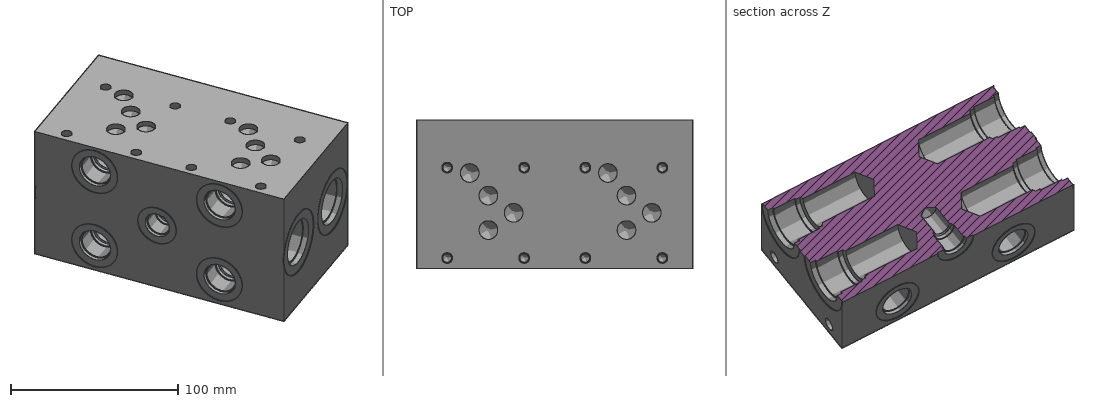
import cadquery as cq
import math

LENGTH = 165.1
WIDTH = 88.9
HEIGHT = 88.9

DRILL_POINT_ANGLE = 118.0
POINT_SLOPE = math.tan(math.radians(DRILL_POINT_ANGLE / 2))

SPOTFACE_DEPTH = 0.6
END_PORT = {
    "spotface": 41.45, "seal": 29.21, "thread": 26.99, "tap_drill": 24.92, "bore": 21.18,
    "seal_depth": 4.1, "thread_depth": 19.0, "tap_depth": 22.0, "bore_depth": 60.0,
}
SIDE_PORT = {
    "spotface": 30.25, "seal": 20.6, "thread": 19.05, "tap_drill": 17.5, "bore": 15.88,
    "seal_depth": 2.9, "thread_depth": 14.3, "tap_depth": 16.7, "bore_depth": 30.0,
}
GAUGE_PORT = {
    "spotface": 25.4, "seal": 15.88, "thread": 14.29, "tap_drill": 12.9, "bore": 10.72,
    "seal_depth": 2.8, "thread_depth": 12.7, "tap_depth": 15.0, "bore_depth": 30.0,
}

MID_HEIGHT = HEIGHT / 2
END_PORT_OFFSET = 23.55

STATION_COUNT = 2
STATION_PITCH = 82.55
STATION_BOLT_LENGTH = 54.0
STATION_BOLT_WIDTH = 46.0
STATION_LEFT_BOLT_X = -((STATION_COUNT - 1) * STATION_PITCH + STATION_BOLT_WIDTH) / 2
STATION_REAR_BOLT_Y = 15.9
VALVE_PORT_DIAMETER = 11.12
VALVE_PORT_DEPTH = 3.3
VALVE_PORTS = [(32.5, 3.2), (21.4, 16.7), (6.3, 27.0), (21.4, 37.3)]

STATION_THREAD = 6.35
STATION_TAP_DRILL = 5.11
STATION_THREAD_DEPTH = 16.0
STATION_TAP_DEPTH = 20.0

FRONT_PORTS_CENTRE_X = -1.6
SIDE_PORT_RISE = 26.9

MOUNT_THREAD = 7.95
MOUNT_TAP_DRILL = 6.53
MOUNT_THREAD_DEPTH = 16.0
MOUNT_TAP_DEPTH = 20.0
MOUNT_OFFSET = 30.16
MOUNT_HEIGHT = 7.94


def cutter(profile, origin, direction):
    """Revolve (radius, depth) points into a tool going along direction from origin."""
    tip_radius, tip_depth = profile[-1]
    tip = (0, tip_depth + tip_radius / POINT_SLOPE)
    outline = cq.Workplane("XZ").polyline([(0, 0), *profile, tip]).close()
    tool = outline.revolve(360, (0, 0, 0), (0, 1, 0)).val()
    plane = cq.Plane(origin=origin, normal=direction)
    return tool.moved(cq.Location(plane))


def drilled_hole(diameter, depth, origin, direction):
    radius = diameter / 2
    return cutter([(radius, 0), (radius, depth)], origin, direction)


def tapped_hole(thread, thread_depth, tap_drill, tap_depth, origin, direction):
    profile = [
        (thread / 2, 0),
        (thread / 2, thread_depth),
        (tap_drill / 2, thread_depth),
        (tap_drill / 2, tap_depth),
    ]
    return cutter(profile, origin, direction)


def threaded_port(size, origin, direction):
    tap_point_depth = (size["tap_drill"] - size["bore"]) / 2 / POINT_SLOPE
    profile = [
        (size["spotface"] / 2, 0),
        (size["spotface"] / 2, SPOTFACE_DEPTH),
        (size["seal"] / 2, SPOTFACE_DEPTH),
        (size["seal"] / 2, size["seal_depth"]),
        (size["thread"] / 2, size["seal_depth"]),
        (size["thread"] / 2, size["thread_depth"]),
        (size["tap_drill"] / 2, size["thread_depth"]),
        (size["tap_drill"] / 2, size["tap_depth"]),
        (size["bore"] / 2, size["tap_depth"] + tap_point_depth),
        (size["bore"] / 2, size["bore_depth"]),
    ]
    return cutter(profile, origin, direction)


def end_face_cutters(side):
    """Ports of the end face at side * LENGTH / 2; the -X face also has mounting holes."""
    face_x = side * LENGTH / 2
    inward = (-side, 0, 0)
    tools = []
    for across in (-1, 1):
        port_centre = (face_x, across * END_PORT_OFFSET, MID_HEIGHT)
        tools.append(threaded_port(END_PORT, port_centre, inward))
        if side < 0:
            hole_centre = (face_x, across * MOUNT_OFFSET, MOUNT_HEIGHT)
            tools.append(tapped_hole(MOUNT_THREAD, MOUNT_THREAD_DEPTH, MOUNT_TAP_DRILL,
                                     MOUNT_TAP_DEPTH, hole_centre, inward))
    return tools


def front_face_cutters():
    face_y = -WIDTH / 2
    inward = (0, 1, 0)
    tools = [threaded_port(GAUGE_PORT, (FRONT_PORTS_CENTRE_X, face_y, MID_HEIGHT), inward)]
    for across in (-1, 1):
        x = FRONT_PORTS_CENTRE_X + across * STATION_PITCH / 2
        for up in (-1, 1):
            centre = (x, face_y, MID_HEIGHT + up * SIDE_PORT_RISE)
            tools.append(threaded_port(SIDE_PORT, centre, inward))
    return tools


def valve_station_cutters(left_bolt_x):
    down = (0, 0, -1)
    right_bolt_x = left_bolt_x + STATION_BOLT_WIDTH
    tools = []
    for x in (left_bolt_x, right_bolt_x):
        for y in (STATION_REAR_BOLT_Y, STATION_REAR_BOLT_Y - STATION_BOLT_LENGTH):
            tools.append(tapped_hole(STATION_THREAD, STATION_THREAD_DEPTH, STATION_TAP_DRILL,
                                     STATION_TAP_DEPTH, (x, y, HEIGHT), down))
    for left, forward in VALVE_PORTS:
        centre = (right_bolt_x - left, STATION_REAR_BOLT_Y - forward, HEIGHT)
        tools.append(drilled_hole(VALVE_PORT_DIAMETER, VALVE_PORT_DEPTH, centre, down))
    return tools


block = cq.Workplane("XY").box(LENGTH, WIDTH, HEIGHT, centered=(True, True, False))

cutters = front_face_cutters()
for end in (-1, 1):
    cutters += end_face_cutters(end)
for station in range(STATION_COUNT):
    cutters += valve_station_cutters(STATION_LEFT_BOLT_X + station * STATION_PITCH)

for tool in cutters:
    block = block.cut(tool)

result = block